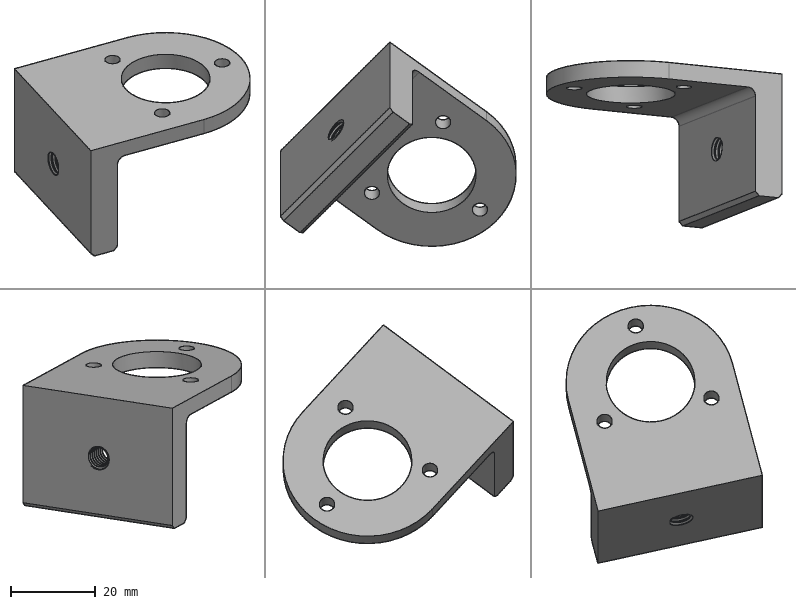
import cadquery as cq
import math

width = 40.0
length = 50.0
height = 30.0

plate_thickness = 4.0
wall_thickness = 7.1
inner_fillet = 2.0
foot_chamfer = 1.0

end_radius = width / 2
end_center_y = length - end_radius
bore_diameter = 21.0
screw_hole_diameter = 3.6
screw_circle_radius = 15.0
screw_hole_count = 3

thread_minor_diameter = 5.05
thread_major_diameter = 6.15
thread_pitch = 1.0
thread_root_flat = thread_pitch / 8
thread_half_angle = 30.0
groove_overlap = 0.05


def angle_body():
    """L-shaped bracket with its outer corner on the top front edge."""
    plate_bottom = height - plate_thickness
    body = (
        cq.Workplane("YZ")
        .polyline([
            (0, 0),
            (wall_thickness, 0),
            (wall_thickness, plate_bottom),
            (length, plate_bottom),
            (length, height),
            (0, height),
        ])
        .close()
        .extrude(width / 2, both=True)
    )
    inner_corner = cq.NearestToPointSelector((0, wall_thickness, plate_bottom))
    body = body.edges(inner_corner).fillet(inner_fillet)
    return body.faces("<Z").edges("|X").chamfer(foot_chamfer)


def plan_outline():
    """Straight-sided plan shape with a semicircular rear end."""
    return (
        cq.Workplane("XY")
        .moveTo(-end_radius, 0)
        .lineTo(end_radius, 0)
        .lineTo(end_radius, end_center_y)
        .threePointArc((0, length), (-end_radius, end_center_y))
        .close()
        .extrude(height)
    )


def plate_holes():
    """Large bore and the screw holes evenly spaced around it."""
    center = cq.Workplane("XY").center(0, end_center_y)
    bore = center.circle(bore_diameter / 2).extrude(height)
    screws = (
        center.polarArray(screw_circle_radius, 90, 360, screw_hole_count)
        .circle(screw_hole_diameter / 2)
        .extrude(height)
    )
    return bore.union(screws)


def thread_groove():
    """Right-handed V groove along +Z, running one pitch past both wall faces."""
    minor_radius = thread_minor_diameter / 2
    major_radius = thread_major_diameter / 2
    inner_radius = minor_radius - groove_overlap
    flank_rise = (major_radius - inner_radius) * math.tan(math.radians(thread_half_angle))
    root_half = thread_root_flat / 2
    mouth_half = root_half + flank_rise
    turns = math.ceil(wall_thickness / thread_pitch) + 2
    helix = cq.Wire.makeHelix(thread_pitch, turns * thread_pitch, minor_radius)
    groove = (
        cq.Workplane("XZ")
        .polyline([
            (inner_radius, -mouth_half),
            (major_radius, -root_half),
            (major_radius, root_half),
            (inner_radius, mouth_half),
        ])
        .close()
        .sweep(cq.Workplane(obj=helix), isFrenet=True)
    )
    return groove.translate((0, 0, -thread_pitch))


def threaded_hole():
    """Tapped hole along +Y, centered on the front of the wall."""
    pilot = cq.Workplane("XY").circle(thread_minor_diameter / 2).extrude(wall_thickness)
    return [
        tool.rotate((0, 0, 0), (1, 0, 0), -90).translate((0, 0, height / 2))
        for tool in (thread_groove(), pilot)
    ]


result = angle_body().intersect(plan_outline()).cut(plate_holes())
for cutter in threaded_hole():
    result = result.cut(cutter)